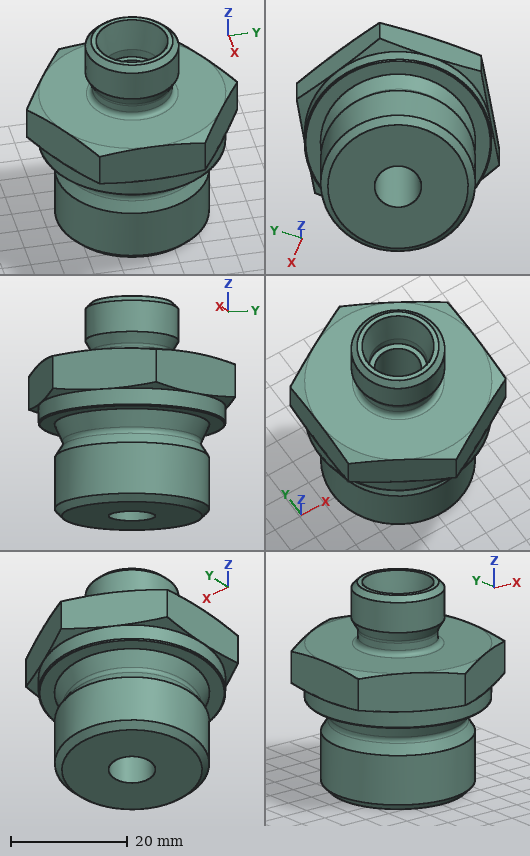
import cadquery as cq
import math

total_height = 37.0
bore_diameter = 8.0

across_flats = 32.0
hex_bottom = 19.0
hex_top = 26.0
hex_chamfer_angle = 15.0
collar_bottom = 16.0
collar_edge_chamfer = 0.22

lower_diameter = 26.4
lower_chamfer_width = 1.22
lower_chamfer_height = 1.22
lower_thread_top = 10.15
groove_diameter = 23.68
groove_center_height = 12.6
groove_fillet = 1.15
groove_lower_angle = 33.0
groove_upper_angle = 24.5

upper_diameter = 16.0
upper_chamfer = 1.0
upper_thread_bottom = 30.55
neck_diameter = 13.7
neck_fillet = 1.0
neck_flank_angle = 30.0

socket_mouth_diameter = 12.3
socket_diameter = 10.0
socket_cone_angle = 12.0
socket_depth = 7.0


def arc_point(center, radius, angle):
    """Point on the axis-facing side of an arc; angle is measured up from the radial line."""
    turn = math.radians(angle)
    return center[0] - radius * math.cos(turn), center[1] + radius * math.sin(turn)


def revolve(profile):
    return profile.close().revolve(360, (0, 0, 0), (0, 1, 0))


def make_lower_end():
    radius = lower_diameter / 2
    arc_center = (groove_diameter / 2 + groove_fillet, groove_center_height)
    arc_start = arc_point(arc_center, groove_fillet, -groove_lower_angle)
    arc_middle = arc_point(arc_center, groove_fillet, 0)
    arc_end = arc_point(arc_center, groove_fillet, groove_upper_angle)
    flank_rise = collar_bottom - arc_end[1]
    flank_top_radius = arc_end[0] + flank_rise * math.tan(math.radians(groove_upper_angle))
    return revolve(
        cq.Workplane("XZ")
        .lineTo(radius - lower_chamfer_width, 0)
        .lineTo(radius, lower_chamfer_height)
        .lineTo(radius, lower_thread_top)
        .lineTo(*arc_start)
        .threePointArc(arc_middle, arc_end)
        .lineTo(flank_top_radius, collar_bottom)
        .lineTo(0, collar_bottom)
    )


def make_collar():
    return (
        cq.Workplane("XY", origin=(0, 0, collar_bottom))
        .circle(across_flats / 2)
        .extrude(hex_bottom - collar_bottom)
        .faces("<Z").edges().chamfer(collar_edge_chamfer)
    )


def make_hexagon():
    """Hexagon with corners on Y, its corners turned off conically at both ends."""
    flat_radius = across_flats / 2
    corner_radius = flat_radius / math.cos(math.radians(30))
    chamfer_drop = (corner_radius - flat_radius) * math.tan(math.radians(hex_chamfer_angle))
    prism = (
        cq.Workplane("XY", origin=(0, 0, hex_bottom))
        .polygon(6, 2 * corner_radius)
        .extrude(hex_top - hex_bottom)
        .rotate((0, 0, 0), (0, 0, 1), 30)
    )
    envelope = revolve(
        cq.Workplane("XZ")
        .moveTo(0, hex_bottom)
        .lineTo(flat_radius, hex_bottom)
        .lineTo(corner_radius, hex_bottom + chamfer_drop)
        .lineTo(corner_radius, hex_top - chamfer_drop)
        .lineTo(flat_radius, hex_top)
        .lineTo(0, hex_top)
    )
    return prism.intersect(envelope)


def make_upper_end():
    radius = upper_diameter / 2
    neck_radius = neck_diameter / 2
    fillet_center_radius = neck_radius + neck_fillet
    flank = math.radians(neck_flank_angle)
    flank_end_radius = fillet_center_radius - neck_fillet * math.cos(flank)
    flank_end = upper_thread_bottom - (radius - flank_end_radius) / math.tan(flank)
    arc_center = (fillet_center_radius, flank_end - neck_fillet * math.sin(flank))
    foot_center = (fillet_center_radius, hex_top + neck_fillet)
    return revolve(
        cq.Workplane("XZ")
        .moveTo(0, hex_top)
        .lineTo(fillet_center_radius, hex_top)
        .threePointArc(arc_point(foot_center, neck_fillet, -45), arc_point(foot_center, neck_fillet, 0))
        .lineTo(neck_radius, arc_center[1])
        .threePointArc(
            arc_point(arc_center, neck_fillet, neck_flank_angle / 2),
            arc_point(arc_center, neck_fillet, neck_flank_angle),
        )
        .lineTo(radius, upper_thread_bottom)
        .lineTo(radius, total_height - upper_chamfer)
        .lineTo(radius - upper_chamfer, total_height)
        .lineTo(0, total_height)
    )


def make_passage():
    """Through bore with a stepped socket and a conical mouth at the top."""
    bore_radius = bore_diameter / 2
    socket_radius = socket_diameter / 2
    mouth_radius = socket_mouth_diameter / 2
    cone_depth = (mouth_radius - socket_radius) / math.tan(math.radians(socket_cone_angle))
    return revolve(
        cq.Workplane("XZ")
        .lineTo(bore_radius, 0)
        .lineTo(bore_radius, total_height - socket_depth)
        .lineTo(socket_radius, total_height - socket_depth)
        .lineTo(socket_radius, total_height - cone_depth)
        .lineTo(mouth_radius, total_height)
        .lineTo(0, total_height)
    )


body = make_lower_end().union(make_collar()).union(make_hexagon()).union(make_upper_end())
result = body.cut(make_passage())